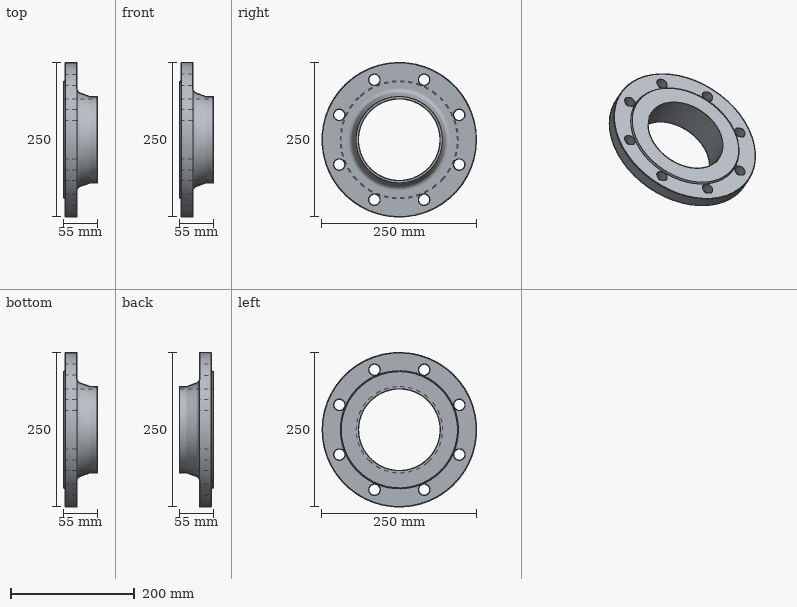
import cadquery as cq
import math

total_length = 55.0
flange_diameter = 250.0
flange_back = 22.0
raised_face_height = 3.0
raised_face_diameter = 188.0
raised_face_bevel = 1.5
rim_chamfer = 0.8

bore_diameter = 131.8
neck_diameter = 139.8
hub_fillet = 8.0
weld_end_start = 44.5
cone_angle = math.radians(20)

cone_end = weld_end_start - hub_fillet * math.tan(cone_angle / 2)
hub_radius = neck_diameter / 2 + (cone_end - flange_back) * math.tan(cone_angle)

bolt_count = 8
bolt_circle_diameter = 210.0
bolt_hole_diameter = 18.0


def corner_box(x, radius):
    """Opposite corners of a box holding only the circular edge at X with this radius."""
    margin = 0.2
    reach = radius + margin
    return (x - margin, -reach, -reach), (x + margin, reach, reach)


def make_body():
    """Revolve the half section: raised face, flange plate, conical hub, weld end."""
    section = [
        (0, bore_diameter / 2),
        (0, raised_face_diameter / 2),
        (raised_face_height, raised_face_diameter / 2 + raised_face_bevel),
        (raised_face_height, flange_diameter / 2 - rim_chamfer),
        (raised_face_height + rim_chamfer, flange_diameter / 2),
        (flange_back, flange_diameter / 2),
        (flange_back, hub_radius),
        (cone_end, neck_diameter / 2),
        (total_length, neck_diameter / 2),
        (total_length, bore_diameter / 2),
    ]
    body = cq.Workplane("XY").polyline(section).close().revolve(360, (0, 0, 0), (1, 0, 0))
    for corner in [(flange_back, hub_radius), (cone_end, neck_diameter / 2)]:
        body = body.edges(cq.selectors.BoxSelector(*corner_box(*corner), boundingbox=True)).fillet(hub_fillet)
    return body


def make_bolt_holes():
    """Through holes, straddling the Y and Z axes."""
    return (
        cq.Workplane("YZ")
        .polarArray(bolt_circle_diameter / 2, 180 / bolt_count, 360, bolt_count)
        .circle(bolt_hole_diameter / 2)
        .extrude(flange_back)
    )


result = make_body().cut(make_bolt_holes())